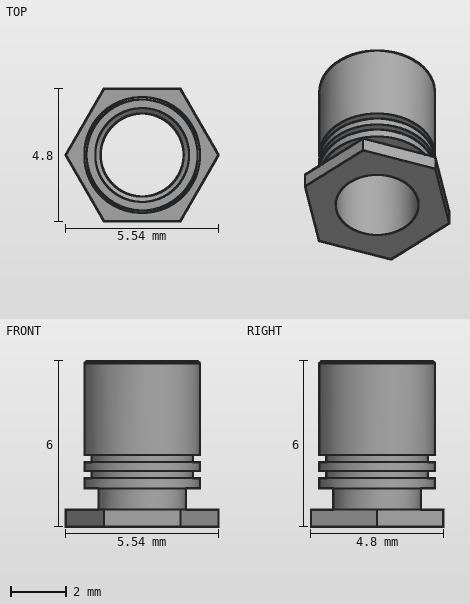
import cadquery as cq
import math

total_height = 6.0
hex_across_flats = 4.8
hex_thickness = 0.62

body_diameter = 4.2
groove_diameter = 3.69
neck_diameter = 3.18
bore_diameter = 3.0
bore_mouth_diameter = 3.4

neck_length = 0.77
lower_ring_width = 0.37
groove_width = 0.26
upper_ring_width = 0.32

rim_chamfer_width = 0.09
rim_chamfer_height = 0.08
bore_chamfer_depth = (bore_mouth_diameter - bore_diameter) / 2

neck_top = hex_thickness + neck_length
lower_groove_bottom = neck_top + lower_ring_width
upper_groove_bottom = lower_groove_bottom + groove_width + upper_ring_width


def hex_head():
    """Hexagonal plate with two corners on the X axis."""
    across_corners = hex_across_flats / math.cos(math.radians(30))
    return cq.Workplane("XY").polygon(6, across_corners).extrude(hex_thickness)


def neck():
    """Narrow cylinder joining the hexagon to the sleeve."""
    return cq.Workplane("XY").circle(neck_diameter / 2).extrude(neck_top)


def rim_chamfered_sleeve():
    """Main cylinder with a small chamfer around its upper rim."""
    radius = body_diameter / 2
    return (
        cq.Workplane("XZ")
        .moveTo(0, neck_top)
        .lineTo(radius, neck_top)
        .lineTo(radius, total_height - rim_chamfer_height)
        .lineTo(radius - rim_chamfer_width, total_height)
        .lineTo(0, total_height)
        .close()
        .revolve(360, (0, 0), (0, 1))
    )


def ring_groove(bottom):
    """Cutter for one groove around the sleeve."""
    return (
        cq.Workplane("XY")
        .workplane(offset=bottom)
        .circle(body_diameter)
        .circle(groove_diameter / 2)
        .extrude(groove_width)
    )


def bore():
    """Cutter for the through bore and its conical mouth at the top."""
    return (
        cq.Workplane("XZ")
        .lineTo(bore_diameter / 2, 0)
        .lineTo(bore_diameter / 2, total_height - bore_chamfer_depth)
        .lineTo(bore_mouth_diameter / 2, total_height)
        .lineTo(0, total_height)
        .close()
        .revolve(360, (0, 0), (0, 1))
    )


result = hex_head().union(neck()).union(rim_chamfered_sleeve())
for groove_bottom in (lower_groove_bottom, upper_groove_bottom):
    result = result.cut(ring_groove(groove_bottom))
result = result.cut(bore())